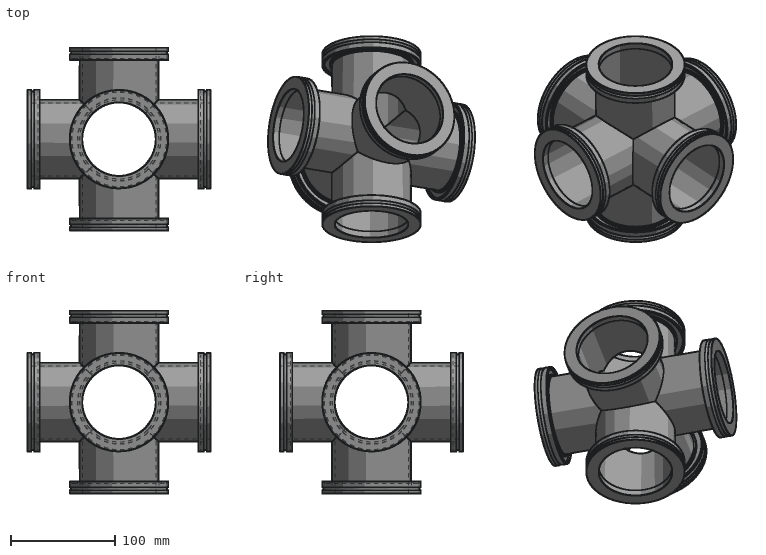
import cadquery as cq

OVERALL = 176.0
FACE_DISTANCE = OVERALL / 2

TUBE_RADIUS = 38.0
BORE_RADIUS = 35.2

FLANGE_RADIUS = 47.5
FLANGE_THICKNESS = 12.0
LIP_THICKNESS = 6.5
EDGE_CHAMFER = 0.4

RIM_GROOVE_RADIUS = 1.5
RIM_GROOVE_SETBACK = 5.0

BACK_GROOVE_INNER_RADIUS = 40.1
BACK_GROOVE_OUTER_RADIUS = 45.4
BACK_GROOVE_DEPTH = 2.0

FLANGE_BACK = FACE_DISTANCE - FLANGE_THICKNESS
TUBE_END = FACE_DISTANCE - LIP_THICKNESS


def crossing_cylinders(radius):
    """Three equal cylinders along X, Y and Z, fused at the centre."""
    along_x = cq.Workplane("YZ").circle(radius).extrude(TUBE_END, both=True)
    along_y = cq.Workplane("XZ").circle(radius).extrude(TUBE_END, both=True)
    along_z = cq.Workplane("XY").circle(radius).extrude(TUBE_END, both=True)
    return along_x.union(along_y).union(along_z)


def make_cross():
    """Six-way tube, open at every end."""
    return crossing_cylinders(TUBE_RADIUS).cut(crossing_cylinders(BORE_RADIUS))


def ring(inner_radius, outer_radius, bottom, height):
    """Flat ring around Z."""
    return (
        cq.Workplane("XY")
        .workplane(offset=bottom)
        .circle(outer_radius)
        .circle(inner_radius)
        .extrude(height)
    )


def make_flange():
    """Flange of the +Z arm: chamfered ring with a tube socket, a back groove and a rim groove."""
    flange = ring(BORE_RADIUS, FLANGE_RADIUS, FLANGE_BACK, FLANGE_THICKNESS)
    socket = ring(BORE_RADIUS, TUBE_RADIUS, FLANGE_BACK, FLANGE_THICKNESS - LIP_THICKNESS)
    back_groove = ring(BACK_GROOVE_INNER_RADIUS, BACK_GROOVE_OUTER_RADIUS, FLANGE_BACK, BACK_GROOVE_DEPTH)
    rim_groove_centre = cq.Vector(0, 0, FACE_DISTANCE - RIM_GROOVE_SETBACK)
    rim_groove = cq.Workplane(cq.Solid.makeTorus(FLANGE_RADIUS, RIM_GROOVE_RADIUS, rim_groove_centre))
    flange = flange.cut(socket).cut(back_groove).cut(rim_groove)

    flange = flange.faces(">Z").chamfer(EDGE_CHAMFER)
    hub_edge = flange.faces("<Z").edges(cq.selectors.RadiusNthSelector(1))
    flange = hub_edge.chamfer(EDGE_CHAMFER)
    rim_edge = flange.faces("<Z").edges(cq.selectors.RadiusNthSelector(-1))
    return rim_edge.chamfer(EDGE_CHAMFER)


def make_flanges():
    """One flange on each of the six arms."""
    top_flange = make_flange()
    flanges = []
    for angle in (0, 90, 180, 270):
        flanges.append(top_flange.rotate((0, 0, 0), (1, 0, 0), angle))
    for angle in (90, 270):
        flanges.append(top_flange.rotate((0, 0, 0), (0, 1, 0), angle))
    return flanges


cross = make_cross()
flanges = make_flanges()
result = cq.Compound.makeCompound([cross.val(), *[flange.val() for flange in flanges]])